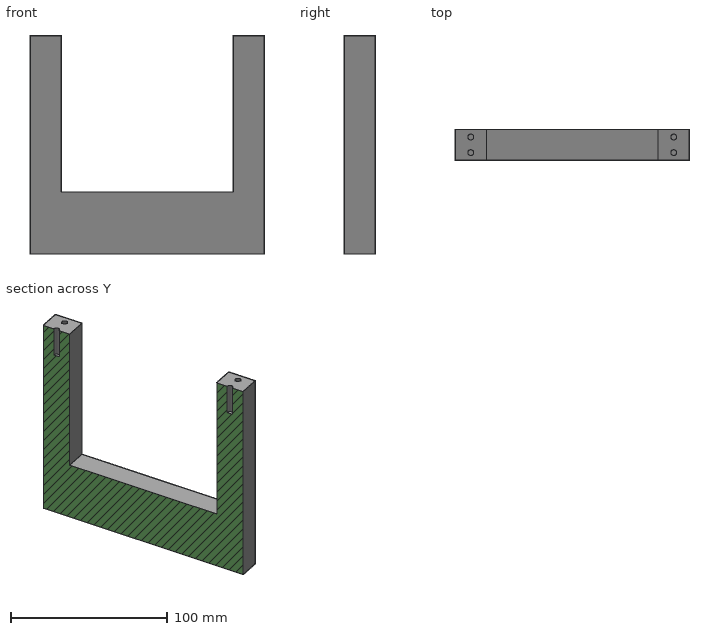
import cadquery as cq

width = 150.0
depth = 20.0
height = 140.0
leg_width = depth
base_height = 2 * depth
hole_diameter = 3.8
hole_spacing = depth / 2
hole_depth = 20.0

opening_width = width - 2 * leg_width
leg_height = height - base_height
block = cq.Workplane("XY").box(width, depth, height, centered=(True, True, False))
opening = (
    cq.Workplane("XY")
    .workplane(offset=base_height)
    .box(opening_width, depth, leg_height, centered=(True, True, False))
)
frame = block.cut(opening)

leg_spacing = width - leg_width
result = (
    frame.faces(">Z")
    .workplane(origin=(0, 0, height))
    .rarray(leg_spacing, hole_spacing, 2, 2)
    .hole(hole_diameter, hole_depth)
)